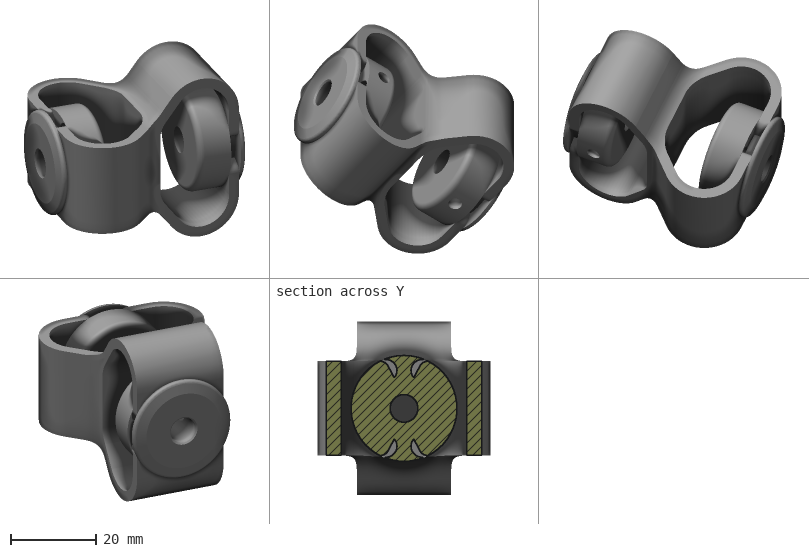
import math

import cadquery as cq


band_width = 22.2
band_thickness = 2.5
wall_outer = 22.0
bulb_radius = 9.5
bulb_offset = 10.875
flank_fillet = 6.25
front_flank_angle = 45.0
rear_flank_angle = 52.2
front_web_fillet = 9.5
rear_web_fillet = 6.0
front_web_face = 0.7
rear_web_face = 2.0

button_end = 23.875
button_radius = 12.5
button_face_radius = 9.55
flange_bevel_angle = 15.0
flange_edge_fillet = 0.8
hub_length = 8.25
hub_fillet = 1.5
neck_radius = 8.8
bore_radius = 3.2
bore_chamfer = 0.36

side_hole_radius = 1.62
side_hole_setback = 4.25

pocket_radius = 2.5
pocket_depth = 2.2
pocket_x = 4.2
pocket_z = 8.9

notch_root_half_width = 2.83
notch_side_angle = 28.0
notch_mouth_fillet = 2.0

half_band = band_width / 2
wall_inner = wall_outer - band_thickness
bulb_depth = wall_outer - bulb_radius
clearance = 2 * wall_outer


def mirrored(point):
    return (-point[0], point[1])


def bulb_point(radius, angle):
    return (bulb_offset + radius * math.cos(angle), -bulb_depth + radius * math.sin(angle))


def loop_prism(radius, flank_angle, root, far_points, root_fillet):
    """Prism along Z: two bulbs joined by the wall, flanks up to the root corners, then far_points."""
    flank_turn = math.radians(flank_angle)
    wall_turn = -math.pi / 2
    flank_end = bulb_point(radius, flank_turn)
    bulb_middle = bulb_point(radius, (flank_turn + wall_turn) / 2)
    wall_end = bulb_point(radius, wall_turn)
    outline = (
        cq.Workplane("XY")
        .moveTo(*root)
        .lineTo(*flank_end)
        .threePointArc(bulb_middle, wall_end)
        .lineTo(*mirrored(wall_end))
        .threePointArc(mirrored(bulb_middle), mirrored(flank_end))
        .lineTo(*mirrored(root))
    )
    for point in far_points:
        outline = outline.lineTo(*point)
    prism = outline.close().extrude(clearance, both=True)
    for corner in (root, mirrored(root)):
        prism = prism.edges(cq.NearestToPointSelector((*corner, 0))).fillet(root_fillet)
    return prism


def loop_envelope(flank_angle):
    """Outside of one loop, continued past the web as a strip as wide as the crossing loop."""
    turn = math.radians(flank_angle)
    flank_x, flank_y = bulb_point(bulb_radius, turn)
    root = (half_band, flank_y + (flank_x - half_band) / math.tan(turn))
    strip_end = [(-half_band, clearance), (half_band, clearance)]
    return loop_prism(bulb_radius, flank_angle, root, strip_end, flank_fillet)


def loop_opening(flank_angle, web_face, web_fillet):
    """Space inside one loop, closed off by the web."""
    radius = bulb_radius - band_thickness
    turn = math.radians(flank_angle)
    flank_x, flank_y = bulb_point(radius, turn)
    root = (flank_x - (-web_face - flank_y) * math.tan(turn), -web_face)
    return loop_prism(radius, flank_angle, root, [], web_fillet)


def notch_prism(start, length):
    """Notch in the +Z wall edge, with rounded mouth corners, from the distance start outwards."""
    slope = math.tan(math.radians(notch_side_angle))
    root_z = math.sqrt(neck_radius**2 - notch_root_half_width**2)
    apex_z = root_z - notch_root_half_width / slope
    mouth = notch_root_half_width + (half_band - root_z) * slope
    top_z = 2 * half_band
    notch = (
        cq.Workplane("XZ", origin=(0, -start, 0))
        .moveTo(0, apex_z)
        .lineTo(mouth, half_band)
        .lineTo(clearance, half_band)
        .lineTo(clearance, top_z)
        .lineTo(-clearance, top_z)
        .lineTo(-clearance, half_band)
        .lineTo(-mouth, half_band)
        .close()
        .extrude(length)
    )
    for side in (-1, 1):
        corner = (side * mouth, -start - length / 2, half_band)
        notch = notch.edges(cq.NearestToPointSelector(corner)).fillet(notch_mouth_fillet)
    return notch


def disc(radius, start, length):
    """Disc on the loop axis, from the distance start outwards."""
    return cq.Workplane("XZ", origin=(0, -start, 0)).circle(radius).extrude(length)


def button():
    """Bevelled flange, neck and hub, still without holes."""
    bevel_height = (button_radius - button_face_radius) * math.tan(math.radians(flange_bevel_angle))
    flange = (
        cq.Workplane("XY")
        .moveTo(0, -wall_outer)
        .lineTo(button_radius, -wall_outer)
        .lineTo(button_radius, -button_end + bevel_height)
        .lineTo(button_face_radius, -button_end)
        .lineTo(0, -button_end)
        .close()
        .revolve(360, (0, 0, 0), (0, 1, 0))
    )
    rim = flange.edges("%CIRCLE").edges(cq.selectors.RadiusNthSelector(-1)).edges("<Y")
    flange = rim.fillet(flange_edge_fillet)
    neck = disc(neck_radius, wall_inner, band_thickness)
    hub = disc(button_radius, wall_inner - hub_length, hub_length).faces(">Y").edges().fillet(hub_fillet)
    return flange.union(neck).union(hub)


def button_holes():
    """Bore with a chamfered mouth and side hole of one button."""
    hub_end = wall_inner - hub_length
    mouth_radius = bore_radius + bore_chamfer
    bore = (
        cq.Workplane("XY")
        .moveTo(0, -hub_end)
        .lineTo(bore_radius, -hub_end)
        .lineTo(bore_radius, -button_end + bore_chamfer)
        .lineTo(mouth_radius, -button_end)
        .lineTo(0, -button_end)
        .close()
        .revolve(360, (0, 0, 0), (0, 1, 0))
    )
    side_hole = (
        cq.Workplane("XY", origin=(0, -wall_inner + side_hole_setback, 0))
        .circle(side_hole_radius)
        .extrude(-button_radius)
    )
    return bore.union(side_hole)


def upper_pockets():
    """Open parts of the two lug pockets beside the +Z notch."""
    pocket_floor = wall_inner - pocket_depth
    lug = disc(pocket_radius, pocket_floor, pocket_depth)
    lugs = lug.translate((-pocket_x, 0, pocket_z)).union(lug.translate((pocket_x, 0, pocket_z)))
    return lugs.intersect(notch_prism(pocket_floor, pocket_depth))


def with_lower_copy(shape):
    return shape.union(shape.mirror("XY"))


def turned_to_rear(shape):
    """Bring a shape from the front loop to the matching place on the rear loop."""
    return shape.rotate((0, 0, 0), (0, 0, 1), 180).rotate((0, 0, 0), (0, 1, 0), 90)


def both_loops(shape):
    return shape, turned_to_rear(shape)


body = loop_envelope(front_flank_angle).intersect(turned_to_rear(loop_envelope(rear_flank_angle)))
body = body.cut(loop_opening(front_flank_angle, front_web_face, front_web_fillet))
body = body.cut(turned_to_rear(loop_opening(rear_flank_angle, rear_web_face, rear_web_fillet)))

notches = with_lower_copy(notch_prism(wall_inner, band_thickness))
for cutter in both_loops(notches):
    body = body.cut(cutter)

for solid in both_loops(button()):
    body = body.union(solid)
for cutter in both_loops(button_holes().union(with_lower_copy(upper_pockets()))):
    body = body.cut(cutter)

result = body